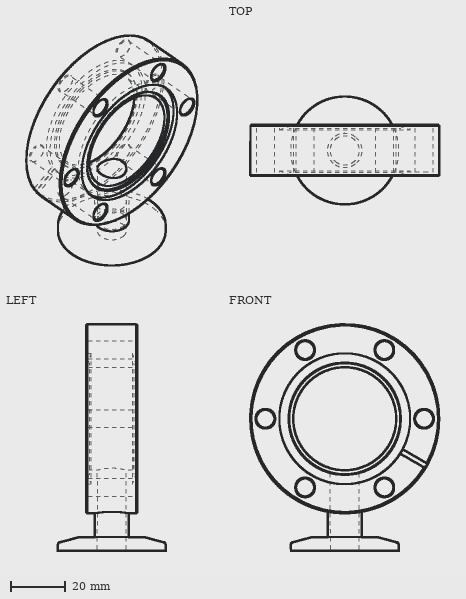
import cadquery as cq
import math

ring_diameter = 70.0
ring_radius = ring_diameter / 2
ring_thickness = 19.0
front_y = -ring_thickness / 2
ring_edge_chamfer = 0.5
bore_diameter = 38.05
overall_height = 83.8
ring_center_z = overall_height - ring_radius

recess_radius = 24.2
knife_radius = 20.8
knife_root_radius = 20.5
knife_tip_depth = 0.7
recess_depth = 1.9
floor_depth = 1.3

bolt_count = 6
bolt_circle_diameter = 58.7
bolt_hole_diameter = 6.6
bolt_chamfer = 0.3

groove_width = 1.85
groove_depth = 1.5
groove_angle = 30.0
groove_overlap = 0.2

tube_diameter = 12.7
tube_bore_diameter = 10.7
clamp_diameter = 40.0
clamp_height = 5.0
clamp_top_diameter = 24.6
clamp_cone_angle = 15.0
clamp_rim_fillet = 1.0


def ring_cylinder(diameter):
    """Cylinder on the ring axis, as long as the ring is thick."""
    return (
        cq.Workplane("XZ", origin=(0, -front_y, ring_center_z))
        .circle(diameter / 2)
        .extrude(ring_thickness)
    )


def sealing_recess():
    """Front-face recess whose conical floor rises inward to a knife edge."""
    return (
        cq.Workplane("XY")
        .moveTo(0, front_y)
        .lineTo(recess_radius, front_y)
        .lineTo(recess_radius, front_y + recess_depth)
        .lineTo(knife_radius, front_y + knife_tip_depth)
        .lineTo(knife_root_radius, front_y + floor_depth)
        .lineTo(0, front_y + floor_depth)
        .close()
        .revolve(360, (0, 0), (0, 1))
        .translate((0, 0, ring_center_z))
    )


def bolt_holes():
    """Bolt holes through the ring, chamfered at both ends."""
    shaft_radius = bolt_hole_diameter / 2
    mouth_radius = shaft_radius + bolt_chamfer
    hole = (
        cq.Workplane("XY")
        .moveTo(0, front_y)
        .lineTo(mouth_radius, front_y)
        .lineTo(shaft_radius, front_y + bolt_chamfer)
        .lineTo(shaft_radius, -front_y - bolt_chamfer)
        .lineTo(mouth_radius, -front_y)
        .lineTo(0, -front_y)
        .close()
        .revolve(360, (0, 0), (0, 1))
        .translate((bolt_circle_diameter / 2, 0, 0))
    )
    holes = cq.Workplane("XY")
    for index in range(bolt_count):
        holes = holes.add(hole.rotate((0, 0, 0), (0, 1, 0), index * 360 / bolt_count))
    return holes.combine().translate((0, 0, ring_center_z))


def leak_groove():
    """Radial slot from the sealing recess to the rim, sloping down toward +X."""
    start_radius = math.sqrt(recess_radius**2 - (groove_width / 2) ** 2) - groove_overlap
    return (
        cq.Workplane("XY")
        .box(ring_radius, groove_depth, groove_width, centered=(False, False, True))
        .translate((start_radius, front_y, 0))
        .rotate((0, 0, 0), (0, 1, 0), groove_angle)
        .translate((0, 0, ring_center_z))
    )


def port_cylinder(diameter):
    """Cylinder on the port axis, from the base up to the ring axis."""
    return cq.Workplane("XY").circle(diameter / 2).extrude(ring_center_z)


def make_ring_flange():
    front_recess = sealing_recess()
    return (
        ring_cylinder(ring_diameter)
        .edges()
        .chamfer(ring_edge_chamfer)
        .cut(ring_cylinder(bore_diameter))
        .cut(front_recess)
        .cut(front_recess.mirror("XZ"))
        .cut(bolt_holes())
        .cut(leak_groove())
        .cut(port_cylinder(tube_bore_diameter))
    )


def make_port_tube():
    """Tube standing on the clamp flange, its top end shaped to the ring's rim."""
    return (
        port_cylinder(tube_diameter)
        .cut(port_cylinder(tube_bore_diameter))
        .cut(ring_cylinder(ring_diameter))
        .cut(cq.Workplane("XY").circle(clamp_diameter).extrude(clamp_height))
    )


def make_clamp_flange():
    """Disc with a conical back and a rounded rim, pierced by the port bore."""
    clamp_radius = clamp_diameter / 2
    top_radius = clamp_top_diameter / 2
    cone_drop = (clamp_radius - top_radius) * math.tan(math.radians(clamp_cone_angle))
    rim_height = clamp_height - cone_drop
    disc = (
        cq.Workplane("XZ")
        .lineTo(clamp_radius, 0)
        .lineTo(clamp_radius, rim_height)
        .lineTo(top_radius, clamp_height)
        .lineTo(0, clamp_height)
        .close()
        .revolve(360, (0, 0), (0, 1))
    )
    rim_edge = cq.selectors.BoxSelector(
        (-clamp_diameter, -clamp_diameter, rim_height / 2),
        (clamp_diameter, clamp_diameter, (rim_height + clamp_height) / 2),
        boundingbox=True,
    )
    return (
        disc.edges("%CIRCLE")
        .edges(rim_edge)
        .fillet(clamp_rim_fillet)
        .cut(port_cylinder(tube_bore_diameter))
    )


ring_flange = make_ring_flange()
port_tube = make_port_tube()
clamp_flange = make_clamp_flange()

result = cq.Compound.makeCompound([ring_flange.val(), port_tube.val(), clamp_flange.val()])